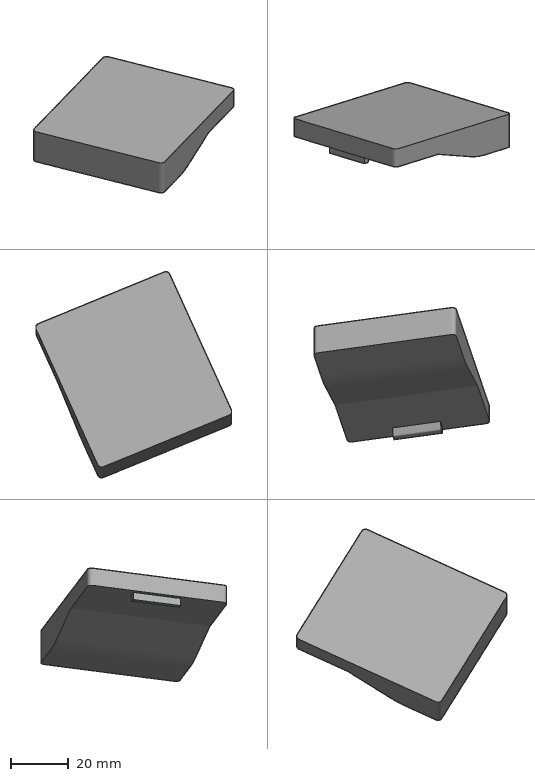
import cadquery as cq

width = 50.5
length = 56.9
height = 12.1
corner_radius = 1.55

thin_height = 6.6
slope_rear_y = 7.6
slope_front_y = -11.8
slope_blend_radius = 23.9

hook_width = 17.05
hook_drop = 2.75
hook_rear_inset = 1.35
hook_root_depth = 3.25
hook_tip_depth = 1.75
hook_tip_radius = 0.55

front_y = -length / 2
rear_y = length / 2
shelf_z = height - thin_height


def extrude_across(points, across):
    """Extrude a closed (Y, Z) outline symmetrically about X = 0."""
    return cq.Workplane("YZ").polyline(points).close().extrude(across / 2, both=True)


def edge_along_x(y, z):
    """Select the edge parallel to X whose centre is at (0, y, z)."""
    margin = 0.05
    return cq.selectors.BoxSelector(
        (-margin, y - margin, z - margin), (margin, y + margin, z + margin)
    )


def make_body():
    outline = [
        (front_y, 0),
        (slope_front_y, 0),
        (slope_rear_y, shelf_z),
        (rear_y, shelf_z),
        (rear_y, height),
        (front_y, height),
    ]
    body = extrude_across(outline, width)
    body = body.edges(edge_along_x(slope_front_y, 0)).fillet(slope_blend_radius)
    return body.edges("|Z").fillet(corner_radius)


def make_hook():
    hook_rear_y = rear_y - hook_rear_inset
    tip_y = hook_rear_y - hook_tip_depth
    tip_z = shelf_z - hook_drop
    outline = [
        (hook_rear_y, shelf_z),
        (hook_rear_y, tip_z),
        (tip_y, tip_z),
        (hook_rear_y - hook_root_depth, shelf_z),
    ]
    hook = extrude_across(outline, hook_width)
    return hook.edges(edge_along_x(tip_y, tip_z)).fillet(hook_tip_radius)


result = make_body().union(make_hook())